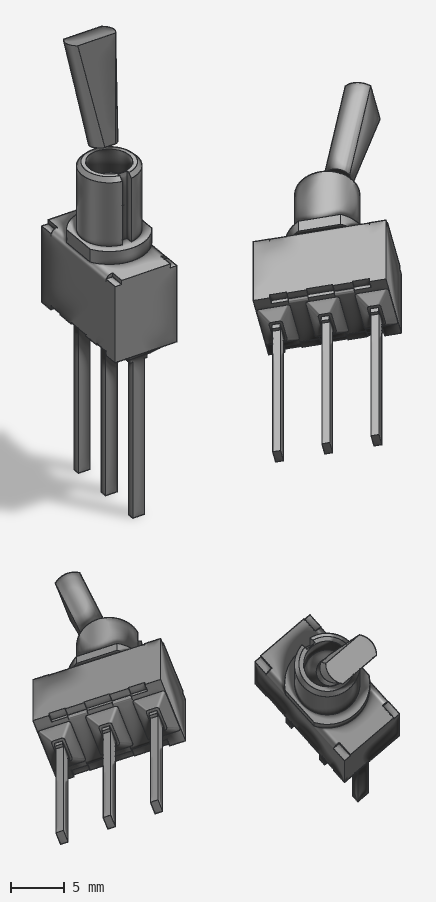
import cadquery as cq
import math


case_length = 12.7
case_width = 6.86
case_height = 8.85
cover_length = 9.52
shoulder_depth = 0.73
end_step_height = 0.44

cover_gap = 0.29
notch_height = 0.44
center_notch_width = 2.5
side_notch_inner_x = 3.15
base_edge_radius = 0.35

flange_diameter = 7.97
flange_height = 1.42
bushing_diameter = 6.13
bushing_height = 17.69
bushing_chamfer = 0.42
bore_diameter = 4.4
keyway_width = 1.0
keyway_radius = 2.3

ball_z = 14.0
lever_tilt = 12.6
ball_radius = bore_diameter / 2
socket_radius = 1.3
socket_depth = 0.5

terminal_pitch = 4.7
terminal_count = 3
terminal_length = 18.75
terminal_thickness = 0.76
terminal_width = 1.3
shoulder_width = 1.9
shoulder_length = 1.55
seal_height = 0.97
seal_tip_length = 1.28
seal_tip_width = 2.5
seal_corner_radius = 0.25

lever_pivot_z = 14.6
lever_start = 4.78
lever_length = 10.75
lever_thickness = 2.5
lever_start_width = 2.8
lever_start_flat = 1.2
lever_end_width = 5.1
lever_end_flat = 4.2


def box(x_range, y_range, z_range):
    """Box between the given limits."""
    sizes = [high - low for low, high in (x_range, y_range, z_range)]
    return cq.Workplane("XY").box(*sizes, centered=False).translate((x_range[0], y_range[0], z_range[0]))


def make_case():
    half_length = case_length / 2
    half_width = case_width / 2
    half_cover = cover_length / 2
    inner_half_width = half_width - shoulder_depth

    case = (
        cq.Workplane("XY")
        .box(cover_length, case_width, case_height, centered=(True, True, False))
        .edges("|X and >Z")
        .fillet(shoulder_depth)
    )
    for side in (-1, 1):
        plate_x = sorted((side * half_cover, side * half_length))
        case = case.union(box(plate_x, (-half_width, half_width), (0, case_height - end_step_height)))
        case = case.union(box(plate_x, (-inner_half_width, inner_half_width), (0, case_height)))

    for side in (-1, 1):
        skirt_y = sorted((side * inner_half_width, side * half_width))
        case = case.cut(box((-half_cover, half_cover), skirt_y, (0, cover_gap)))
        half_notch = center_notch_width / 2
        notches = (
            (-half_cover, -side_notch_inner_x),
            (-half_notch, half_notch),
            (side_notch_inner_x, half_cover),
        )
        for notch_x in notches:
            case = case.cut(box(notch_x, skirt_y, (0, notch_height)))
        for near_x, far_x in ((-side_notch_inner_x, -half_notch), (half_notch, side_notch_inner_x)):
            rounding_y = inner_half_width - base_edge_radius
            corner_y = sorted((side * rounding_y, side * inner_half_width))
            rounding = (
                cq.Workplane("YZ", origin=(near_x, side * rounding_y, base_edge_radius))
                .circle(base_edge_radius)
                .extrude(far_x - near_x)
            )
            case = case.cut(box((near_x, far_x), corner_y, (0, base_edge_radius)).cut(rounding))
    return case


def make_flange():
    return (
        cq.Workplane("XY", origin=(0, 0, case_height))
        .circle(flange_diameter / 2)
        .extrude(flange_height)
        .intersect(
            cq.Workplane("XY", origin=(0, 0, case_height))
            .rect(flange_diameter, case_width)
            .extrude(flange_height)
        )
    )


def tilted_plane(start_z, distance):
    """Plane square to the lever axis, at a distance along it from a height on the Z axis."""
    tilt = math.radians(lever_tilt)
    axis = (-math.sin(tilt), 0, math.cos(tilt))
    origin = (distance * axis[0], 0, start_z + distance * axis[2])
    return cq.Plane(origin=origin, xDir=(math.cos(tilt), 0, math.sin(tilt)), normal=axis)


def make_bushing():
    """Plain barrel with a blind bore that has the pivot ball rising from its floor."""
    outer_radius = bushing_diameter / 2
    bore_radius = bore_diameter / 2
    half_root = math.sqrt(0.5)
    barrel = (
        cq.Workplane("XZ")
        .moveTo(0, case_height)
        .lineTo(outer_radius, case_height)
        .lineTo(outer_radius, bushing_height - bushing_chamfer)
        .lineTo(outer_radius - bushing_chamfer, bushing_height)
        .lineTo(bore_radius, bushing_height)
        .lineTo(bore_radius, ball_z)
        .threePointArc(
            (ball_radius * half_root, ball_z + ball_radius * half_root),
            (0, ball_z + ball_radius),
        )
        .close()
        .revolve(360, (0, 0, 0), (0, 1, 0))
    )

    half_keyway = keyway_width / 2
    keyway = box(
        (keyway_radius, flange_diameter / 2),
        (-half_keyway, half_keyway),
        (case_height + flange_height, bushing_height),
    )

    dish_radius = (socket_radius**2 + socket_depth**2) / (2 * socket_depth)
    rim_distance = math.sqrt(ball_radius**2 - socket_radius**2)
    dish_center = rim_distance - socket_depth + dish_radius
    socket = cq.Workplane(tilted_plane(ball_z, dish_center)).sphere(dish_radius)
    ball_zone = cq.Workplane("XY", origin=(0, 0, ball_z)).sphere(ball_radius)
    return barrel.cut(keyway).cut(socket.intersect(ball_zone))


def rounded_rectangle(size):
    return cq.Sketch().rect(*size).vertices().fillet(seal_corner_radius)


def make_terminal(x):
    """Flat terminal with a wider shoulder, rising out of a pyramid of sealing compound."""
    base_size = (seal_tip_length + 2 * seal_height, seal_tip_width + 2 * seal_height)
    tip_size = (seal_tip_length, seal_tip_width)
    base = rounded_rectangle(base_size)
    tip = rounded_rectangle(tip_size).moved(cq.Location(cq.Vector(0, 0, -seal_height)))
    seal = cq.Workplane("XY", origin=(x, 0, 0)).placeSketch(base, tip).loft(ruled=True)
    start = cq.Workplane("XY", origin=(x, 0, 0))
    shoulder = start.rect(terminal_thickness, shoulder_width).extrude(-shoulder_length)
    blade = start.rect(terminal_thickness, terminal_width).extrude(-terminal_length)
    return seal.union(shoulder).union(blade)


def make_housing():
    housing = make_case().union(make_flange()).union(make_bushing())
    for index in range(terminal_count):
        x = (index - (terminal_count - 1) / 2) * terminal_pitch
        housing = housing.union(make_terminal(x))
    return housing


def lever_section(distance, width, flat):
    """Cross-section with two flats facing along X and bulging ends along Y."""
    half_thickness = lever_thickness / 2
    return (
        cq.Workplane(tilted_plane(lever_pivot_z, distance))
        .moveTo(-half_thickness, -flat / 2)
        .threePointArc((0, -width / 2), (half_thickness, -flat / 2))
        .lineTo(half_thickness, flat / 2)
        .threePointArc((0, width / 2), (-half_thickness, flat / 2))
        .close()
        .wire()
        .val()
    )


def make_lever():
    start = lever_section(lever_start, lever_start_width, lever_start_flat)
    end = lever_section(lever_start + lever_length, lever_end_width, lever_end_flat)
    return cq.Workplane(cq.Solid.makeLoft([start, end], True))


housing = make_housing()
lever = make_lever()
result = cq.Compound.makeCompound([*housing.solids().vals(), lever.val()])